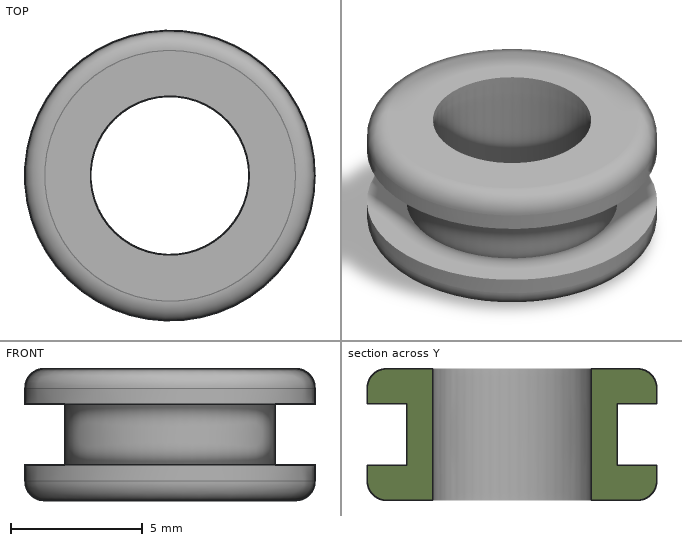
import cadquery as cq

flange_diameter = 11.0
neck_diameter = 8.0
bore_diameter = 6.0
total_height = 5.0
groove_width = 2.3
edge_radius = 0.75

flange_thickness = (total_height - groove_width) / 2


def centred_cylinder(diameter, height):
    """Cylinder along Z, centred on the origin."""
    return cq.Workplane("XY").cylinder(height, diameter / 2)


def make_flange():
    """Disc on the XY plane with its upper rim rounded."""
    disc = cq.Workplane("XY").circle(flange_diameter / 2).extrude(flange_thickness)
    return disc.faces(">Z").edges().fillet(edge_radius)


neck = centred_cylinder(neck_diameter, groove_width)
upper_flange = make_flange().translate((0, 0, groove_width / 2))
lower_flange = upper_flange.mirror("XY")
body = neck.union(upper_flange).union(lower_flange)

result = body.cut(centred_cylinder(bore_diameter, total_height))